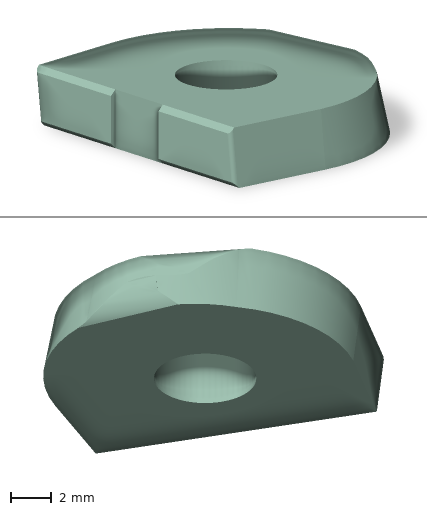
import cadquery as cq
import math

nose_radius = 7.85
length = 14.05
thickness = 3.0
hole_diameter = 5.0

nose_center_y = 0.22
tip_y = nose_center_y + nose_radius
base_y = tip_y - length
half_thickness = thickness / 2
side_taper = 5.0

side_relief = 0.38
shoulder_relief = 0.61
front_relief = 0.66
tip_relief = 0.85
shoulder_angle = 40.0
front_angle = 60.0
near_tip_angle = 80.0
near_tip_share = 0.8

base_chamfer = 0.28
corner_radius = 0.22
notch_width = 3.48

gash_angle = 8.9
gash_width = 0.66
gash_reach = 5.02
gash_overrun = 1.88
outer_bulge = 0.35
tip_bulge = 0.02
cutter_size = 2 * length


def nose_point(radius, angle):
    """Point at a radius and angle (degrees from +X) round the nose centre."""
    turn = math.radians(angle)
    return (radius * math.cos(turn), nose_center_y + radius * math.sin(turn))


def half_outline(plane, side_radius, shoulder_radius, front_radius, tip_radius):
    """Closed outline of the +X half of the body on a horizontal plane."""
    side_x, side_y = nose_point(side_radius, -side_taper)
    base_x = side_x - (side_y - base_y) * math.tan(math.radians(side_taper))
    near_tip_radius = front_radius + near_tip_share * (tip_radius - front_radius)
    return (
        plane.moveTo(0, base_y)
        .lineTo(base_x, base_y)
        .lineTo(side_x, side_y)
        .threePointArc(nose_point(shoulder_radius, shoulder_angle), nose_point(front_radius, front_angle))
        .threePointArc(nose_point(near_tip_radius, near_tip_angle), nose_point(tip_radius, 90))
        .close()
    )


def half_body():
    """The +X half, with its flank relieved upwards from the lower cutting edge."""
    lower = half_outline(
        cq.Workplane("XY", origin=(0, 0, -half_thickness)),
        nose_radius,
        nose_radius,
        nose_radius,
        nose_radius + tip_relief / 2,
    )
    both = half_outline(
        lower.workplane(offset=thickness),
        nose_radius - side_relief,
        nose_radius - shoulder_relief,
        nose_radius - front_relief,
        nose_radius - tip_relief / 2,
    )
    body = both.loft(ruled=True, combine=True)
    base_corner = body.faces("<Y").edges(">X")
    return base_corner.fillet(corner_radius)


def envelope():
    """Nose cylinder joined to a block that covers the straight sides."""
    block_length = nose_center_y - base_y
    block = cq.Workplane("XY").box(2 * nose_radius, block_length, thickness)
    block = block.translate((0, (nose_center_y + base_y) / 2, 0))
    cylinder = cq.Workplane("XY").center(0, nose_center_y).circle(nose_radius)
    return block.union(cylinder.extrude(half_thickness, both=True))


def gash_profile(plane, bulge):
    """Cross-section of a gash cutter; bulge is how far its face is hollowed at mid-height."""
    slope = math.hypot(gash_width, half_thickness)
    middle_y = -gash_width / 2 + bulge * half_thickness / slope
    middle_z = half_thickness / 2 + bulge * gash_width / slope
    return (
        plane.moveTo(-gash_width, half_thickness)
        .threePointArc((middle_y, middle_z), (0, 0))
        .lineTo(gash_width, -half_thickness)
        .lineTo(gash_width, half_thickness)
        .close()
    )


def top_gash():
    """Cutter from the top face to the tip, leaving a face that grows rounder towards -X."""
    outer = gash_profile(cq.Workplane("YZ", origin=(-gash_reach, 0, 0)), outer_bulge)
    both = gash_profile(outer.workplane(offset=gash_reach + gash_overrun), tip_bulge)
    cutter = both.loft(ruled=True, combine=True)
    return cutter.rotate((0, 0, 0), (0, 0, 1), gash_angle).translate((0, tip_y, 0))


def base_chamfer_cutter():
    """Bevel along the upper edge of the base."""
    return (
        cq.Workplane("YZ")
        .polyline([
            (base_y, half_thickness),
            (base_y + base_chamfer, half_thickness),
            (base_y, half_thickness - base_chamfer),
        ])
        .close()
        .extrude(cutter_size / 2, both=True)
    )


def turned_over(shape):
    """Copy turned half a revolution about the Y axis."""
    return shape.rotate((0, 0, 0), (0, 1, 0), 180)


half = half_body()
result = half.union(turned_over(half)).intersect(envelope())
for cutter in (top_gash(), base_chamfer_cutter()):
    result = result.cut(cutter).cut(turned_over(cutter))

notch = cq.Workplane("XY").box(notch_width, 2 * base_chamfer, thickness)
result = result.cut(notch.translate((0, base_y, 0)))

hole = cq.Workplane("XY").circle(hole_diameter / 2).extrude(half_thickness, both=True)
result = result.cut(hole)